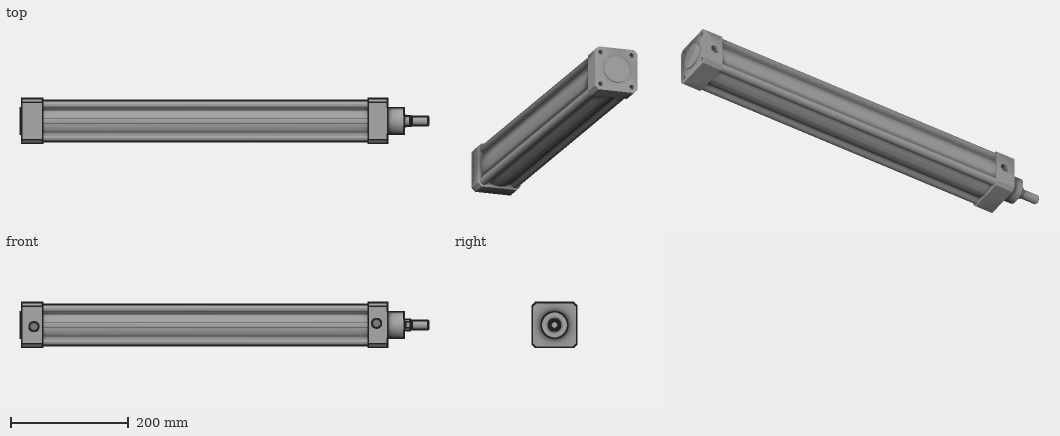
import cadquery as cq
import math

overall_length = 694.0

cap_width = 76.0
cap_chamfer = 6.0
boss_height = 3.0
collar_diameter = 45.0
rear_cap_length = 35.5
front_cap_start = 590.5
front_cap_length = 33.0
collar_length = 28.0
port_diameter = 16.0
port_depth = 10.5
port_offset = 3.0
rear_port_x = 23.5
front_port_x = 605.0
screw_pitch = 56.0
screw_diameter = 8.0
screw_depth = 14.0

barrel_diameter = 69.5
lobe_radius = 7.0
crease_fillet = 1.75
ridge_width = 10.5
ridge_radius = 15.0
ridge_rise = 0.35

shank_diameter = 20.0
shank_length = 12.0
shank_chamfer = 2.0
flat_start = 3.0
flat_width = 17.5
relief_length = 2.0
relief_diameter = 15.0
thread_diameter = 16.0
thread_chamfer = 1.75

rear_cap_start = boss_height
barrel_start = rear_cap_start + rear_cap_length
barrel_length = front_cap_start - barrel_start
front_cap_end = front_cap_start + front_cap_length
rod_start = front_cap_end + collar_length
shank_end = rod_start + shank_length
thread_start = shank_end + relief_length


def cross_section(x):
    """Sketch plane across the axis: local x is +Y, local y is +Z, normal is +X."""
    return cq.Workplane("YZ", origin=(x, 0, 0))


def cylinder(x, length, diameter):
    """Cylinder on the main axis, running in +X from x."""
    return cross_section(x).circle(diameter / 2).extrude(length)


def cap_block(x, length):
    """Square cap with its four long edges chamfered."""
    block = cross_section(x).rect(cap_width, cap_width).extrude(length)
    return block.edges("|X").chamfer(cap_chamfer)


def port(x, z):
    """Blind port tool entering the -Y face of a cap."""
    face = cq.Workplane("XZ", origin=(x, -cap_width / 2, z))
    return face.circle(port_diameter / 2).extrude(-port_depth)


def make_rear_cap():
    boss = cylinder(0, boss_height, collar_diameter)
    screw_holes = (
        cross_section(rear_cap_start)
        .rect(screw_pitch, screw_pitch, forConstruction=True)
        .vertices()
        .circle(screw_diameter / 2)
        .extrude(screw_depth)
    )
    cap = cap_block(rear_cap_start, rear_cap_length).union(boss)
    return cap.cut(screw_holes).cut(port(rear_port_x, -port_offset))


def make_front_cap():
    collar = cylinder(front_cap_end, collar_length, collar_diameter)
    cap = cap_block(front_cap_start, front_cap_length).union(collar)
    return cap.cut(port(front_port_x, port_offset))


def corner_arm():
    """Round-ended arm pointing along +Y, as long as the distance from the axis to a cap screw."""
    reach = screw_pitch / math.sqrt(2)
    return (
        cross_section(barrel_start)
        .moveTo(0, -lobe_radius)
        .lineTo(reach, -lobe_radius)
        .threePointArc((reach + lobe_radius, 0), (reach, lobe_radius))
        .lineTo(0, lobe_radius)
        .close()
        .extrude(barrel_length)
    )


def side_ridge():
    """Shallow crowned ridge along the middle of the +Y side."""
    half_width = ridge_width / 2
    crown_drop = ridge_radius - math.sqrt(ridge_radius**2 - half_width**2)
    crest = barrel_diameter / 2 + ridge_rise
    edge = crest - crown_drop
    return (
        cross_section(barrel_start)
        .moveTo(0, -half_width)
        .lineTo(edge, -half_width)
        .threePointArc((crest, 0), (edge, half_width))
        .lineTo(0, half_width)
        .close()
        .extrude(barrel_length)
    )


def is_crease(edge):
    """True for the long edges where an arm meets the round barrel, off the Y and Z planes."""
    center = edge.Center()
    on_barrel = math.isclose(math.hypot(center.y, center.z), barrel_diameter / 2, abs_tol=0.01)
    return on_barrel and min(abs(center.y), abs(center.z)) > lobe_radius


def make_barrel():
    barrel = cylinder(barrel_start, barrel_length, barrel_diameter)
    for side in range(4):
        barrel = barrel.union(corner_arm().rotate((0, 0, 0), (1, 0, 0), 90 * side + 45))
    barrel = barrel.edges("|X").filter(is_crease).fillet(crease_fillet)
    for side in range(4):
        barrel = barrel.union(side_ridge().rotate((0, 0, 0), (1, 0, 0), 90 * side))
    return barrel


def wrench_flat(side):
    """Tool that cuts one wrench flat; side is -1 for the -Y flat and 1 for the +Y flat."""
    flat_length = shank_length - flat_start
    tool_y = side * (flat_width + shank_diameter) / 2
    return (
        cross_section(rod_start + flat_start)
        .center(tool_y, 0)
        .rect(shank_diameter, shank_diameter)
        .extrude(flat_length)
    )


def make_rod():
    shank = cylinder(rod_start, shank_length, shank_diameter)
    shank = shank.faces(">X").chamfer(shank_chamfer)
    for side in (-1, 1):
        shank = shank.cut(wrench_flat(side))
    relief = cylinder(shank_end, relief_length, relief_diameter)
    thread = cylinder(thread_start, overall_length - thread_start, thread_diameter)
    thread = thread.faces(">X").chamfer(thread_chamfer)
    return shank.union(relief).union(thread)


rear_cap = make_rear_cap()
barrel = make_barrel()
front_cap = make_front_cap()
rod = make_rod()

result = cq.Compound.makeCompound([rear_cap.val(), barrel.val(), front_cap.val(), rod.val()])